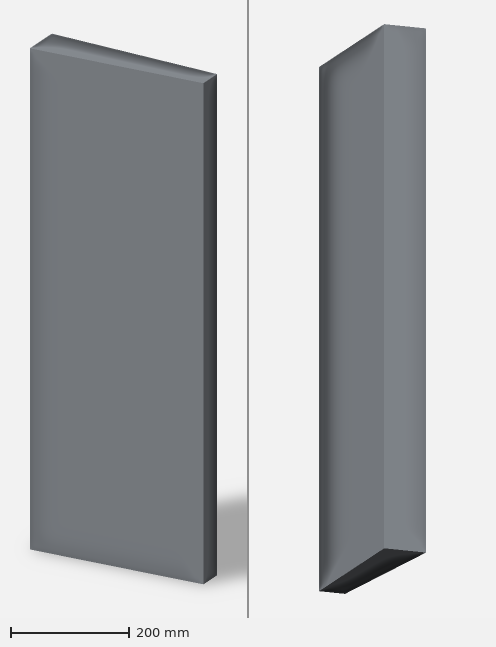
import cadquery as cq

width = 335.0
height = 910.0
thick_edge = 77.0
thin_edge = 48.0

profile = [
    (0, 0),
    (width, 0),
    (width, thin_edge),
    (0, thick_edge),
]

result = cq.Workplane("XY").polyline(profile).close().extrude(height)